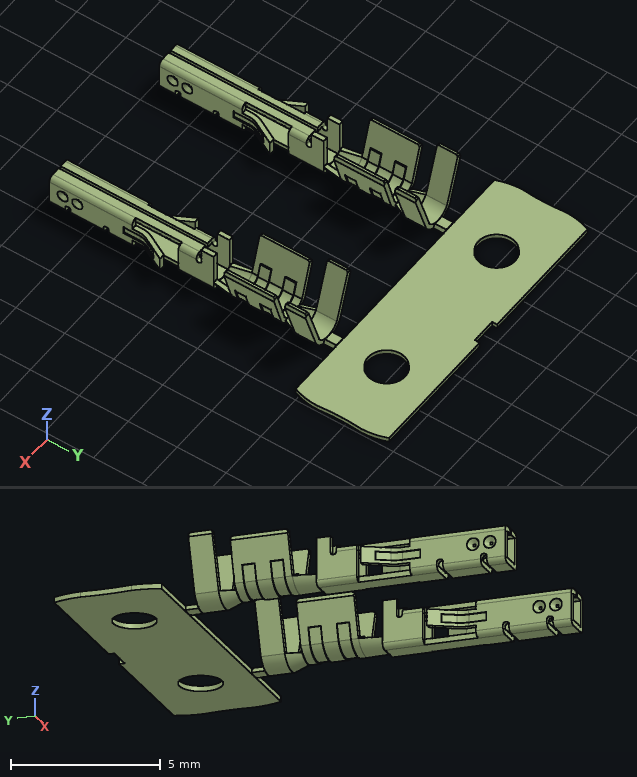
import cadquery as cq
import math


sheet = 0.2
total_length = 15.3
contact_pitch = 6.35
through = 15.3

strip_half_width = 5.94
strip_rear = total_length
strip_front = 11.48
strip_middle = (strip_rear + strip_front) / 2
strip_corner_inset = 0.2
strip_lobe_drop = 1.01
strip_waist_inset = 0.05
pilot_hole_diameter = 1.5
strip_notch_width = 1.0
strip_notch_depth = 0.2

insulation_rear = 11.0
insulation_front = 10.15
conductor_rear = 9.58
conductor_front = 7.53
box_rear = 6.72
ear_front = 6.21
roof_rear = 6.01

floor_z = sheet
insulation_top = 2.4
conductor_top = 2.15
box_top = 1.53
ear_top = 1.9

barrel_knee_x = 0.69
knee_height = 0.41
insulation_lean = 18.5
conductor_lean = 17.0
wing_tip_height = 0.17
wing_tip_inset = 0.05
wing_tip_chamfer = 0.06
tab_knee_x = 0.28
tab_knee_height = 0.05
tab_lean = 70.0
waist_knee_x = 0.46
waist_knee_height = 0.26
bead_length = 0.45
bead_centers = (9.03, 8.02)
bead_depth = 0.05
bead_top_height = 0.96

box_width = 1.12
box_half_width = box_width / 2
bore_half_width = box_half_width - sheet
seam_width = 0.1
seam_offset = -0.03
side_notch_centers = (2.33, 0.76)
side_notch_width = 0.21
side_notch_top = 0.57
ear_notch_bottom = 1.22
window_rear = 5.28
window_front = 3.4
dimple_centers = (1.15, 0.55)
dimple_z = 0.95
dimple_radius = 0.21
dimple_depth = 0.15
dimple_floor_radius = 0.05
bump_height = 0.1
bump_tip_radius = 0.15

lance_bend_start = 3.67
lance_bend_radius = 0.76
lance_angle = 28.0
lance_tip = 4.93
lance_bottom = 0.58
lance_top = 1.16
coin_bottom = 0.72
coin_top = 1.01
coin_rear = 4.5
coin_front = 3.03
coin_depth = 0.05


def block(x_range, y_range, z_range):
    """Axis-aligned box between pairs of limits."""
    return (
        cq.Workplane("XY")
        .box(x_range[1] - x_range[0], y_range[1] - y_range[0], z_range[1] - z_range[0], centered=False)
        .translate((x_range[0], y_range[0], z_range[0]))
    )


def both_sides(right_side):
    """A feature together with its mirror image across X = 0."""
    return right_side.union(right_side.mirror("YZ"))


def channel(y, bottom, knee_x, knee_z, lean, rim=None, tip_inset=0, tip_height=0, thickness=sheet):
    """Closed section of an open sheet channel: curved floor and, given a rim height, leaning wings."""
    angle = math.radians(lean)
    outer_knee = (knee_x, bottom + knee_z)
    inner_knee = (
        outer_knee[0] - thickness * math.cos(angle),
        outer_knee[1] + thickness * math.sin(angle),
    )

    def on_wing(knee, z):
        return (knee[0] + (z - knee[1]) * math.tan(angle), z)

    def left(point):
        return (-point[0], point[1])

    wing = []
    if rim is not None:
        outer_end = on_wing(outer_knee, rim - tip_height)
        wing = [outer_end, on_wing(inner_knee, rim)]
        if tip_height > 0:
            wing.insert(1, (outer_end[0] - tip_inset, rim))

    section = (
        cq.Workplane("XZ", origin=(0, y, 0))
        .moveTo(*left(outer_knee))
        .threePointArc((0, bottom), outer_knee)
    )
    for point in wing + [inner_knee]:
        section = section.lineTo(*point)
    section = section.threePointArc((0, bottom + thickness), left(inner_knee))
    for point in reversed(wing):
        section = section.lineTo(*left(point))
    return section.close()


def loft(rear_section, front_section):
    return cq.Workplane(cq.Solid.makeLoft([rear_section.val(), front_section.val()], True))


def carrier_strip():
    """Flat strip with lobed ends, pilot holes and one rear notch."""
    corner_x = strip_half_width - strip_corner_inset
    lobe_x = strip_half_width - strip_corner_inset / 4
    waist = (strip_half_width - strip_waist_inset, strip_middle)
    rear_peak = strip_rear - strip_lobe_drop
    front_peak = strip_front + strip_lobe_drop
    strip = (
        cq.Workplane("XY")
        .moveTo(corner_x, strip_rear)
        .threePointArc((lobe_x, strip_rear - strip_lobe_drop / 2), (strip_half_width, rear_peak))
        .threePointArc(waist, (strip_half_width, front_peak))
        .threePointArc((lobe_x, strip_front + strip_lobe_drop / 2), (corner_x, strip_front))
        .lineTo(-corner_x, strip_front)
        .threePointArc((-lobe_x, strip_front + strip_lobe_drop / 2), (-strip_half_width, front_peak))
        .threePointArc((-waist[0], waist[1]), (-strip_half_width, rear_peak))
        .threePointArc((-lobe_x, strip_rear - strip_lobe_drop / 2), (-corner_x, strip_rear))
        .close()
        .extrude(sheet)
    )
    holes = (
        cq.Workplane("XY")
        .pushPoints([(-contact_pitch / 2, strip_middle), (contact_pitch / 2, strip_middle)])
        .circle(pilot_hole_diameter / 2)
        .extrude(sheet)
    )
    notch = block(
        (-strip_notch_width / 2, strip_notch_width / 2),
        (strip_rear - strip_notch_depth, strip_rear),
        (0, sheet),
    )
    return strip.cut(holes).cut(notch)


def barrel(rear, front, bottom, lean, top):
    """Crimp barrel with two leaning wings whose tips are bevelled outside and at both ends."""
    section = channel(
        rear, bottom, barrel_knee_x, knee_height, lean, top, wing_tip_inset, wing_tip_height
    )
    return section.extrude(rear - front).faces(">Z").edges("|X").chamfer(wing_tip_chamfer)


def barrel_floor(y, bottom, lean):
    """Section of the curved barrel floor alone, without wings."""
    return channel(y, bottom, barrel_knee_x, knee_height, lean)


def add_bead(body, center):
    """Press a shallow bead inward across the conductor barrel."""
    rear = center + bead_length / 2
    rim = floor_z + bead_top_height
    angle = math.radians(conductor_lean)
    raised_knee_x = barrel_knee_x - bead_depth * math.cos(angle)
    raised_knee_height = knee_height - bead_depth * (1 - math.sin(angle))
    recess = channel(
        rear, floor_z, barrel_knee_x, knee_height, conductor_lean, rim, thickness=bead_depth
    )
    raised_sheet = channel(
        rear, floor_z + bead_depth, raised_knee_x, raised_knee_height, conductor_lean, rim
    )
    return body.cut(recess.extrude(bead_length)).union(raised_sheet.extrude(bead_length))


def crimp_end():
    """Strip tab, insulation barrel, waist, conductor barrel and the neck up to the box."""
    tab = channel(strip_front, 0, tab_knee_x, tab_knee_height, tab_lean)
    tab = tab.extrude(strip_front - insulation_rear)
    insulation = barrel(insulation_rear, insulation_front, 0, insulation_lean, insulation_top)
    waist = loft(
        barrel_floor(insulation_front, 0, insulation_lean),
        channel(conductor_rear, floor_z, waist_knee_x, waist_knee_height, insulation_lean),
    )
    conductor = barrel(conductor_rear, conductor_front, floor_z, conductor_lean, conductor_top)
    for center in bead_centers:
        conductor = add_bead(conductor, center)
    neck = loft(
        barrel_floor(conductor_front, floor_z, conductor_lean),
        channel(box_rear, floor_z, box_half_width, knee_height, 0),
    )
    return tab.union(insulation).union(waist).union(conductor).union(neck)


def box_shell():
    """Folded square tube with an open seam, ears at its rear and windows in its sides."""
    shell = block((-box_half_width, box_half_width), (0, box_rear), (floor_z, box_top))
    shell = shell.edges("|Y").fillet(sheet)
    bore = block((-bore_half_width, bore_half_width), (0, box_rear), (floor_z + sheet, box_top - sheet))
    seam = block(
        (seam_offset - seam_width / 2, seam_offset + seam_width / 2),
        (0, roof_rear),
        (box_top - sheet, box_top),
    )
    rear_opening = block(
        (-bore_half_width, bore_half_width), (roof_rear, box_rear), (box_top - sheet, box_top)
    )
    ears = both_sides(
        block((bore_half_width, box_half_width), (ear_front, box_rear), (ear_notch_bottom, ear_top))
    )
    windows = both_sides(
        block((bore_half_width, box_half_width), (window_front, window_rear), (floor_z, box_top))
    )
    shell = shell.cut(bore).cut(seam).cut(rear_opening)
    return shell.union(ears).cut(windows)


def cross_slot(center_y, width, round_end, open_end):
    """Cutter across X: a slot with one round end, open at the other."""
    radius = width / 2
    direction = math.copysign(1, round_end - open_end)
    straight_end = round_end - direction * radius
    return (
        cq.Workplane("YZ", origin=(-through / 2, 0, 0))
        .moveTo(center_y - radius, open_end)
        .lineTo(center_y - radius, straight_end)
        .threePointArc((center_y, round_end), (center_y + radius, straight_end))
        .lineTo(center_y + radius, open_end)
        .close()
        .extrude(through)
    )


def cut_notches(shell):
    """Round-ended notches behind the roof and up through the floor."""
    ear_gap = ear_front - roof_rear
    shell = shell.cut(cross_slot((ear_front + roof_rear) / 2, ear_gap, ear_notch_bottom, ear_top))
    for center in side_notch_centers:
        shell = shell.cut(cross_slot(center, side_notch_width, side_notch_top, 0))
    return shell


def cone(x, y, base_radius, tip_radius, height):
    """Truncated cone that starts at X = x and tapers toward the box axis."""
    return cq.Workplane(
        cq.Solid.makeCone(base_radius, tip_radius, height, cq.Vector(x, y, dimple_z), cq.Vector(-1, 0, 0))
    )


def add_dimples(shell):
    """Contact dimples pressed into both sides of the box."""
    for y in dimple_centers:
        bump = cone(bore_half_width, y, dimple_radius, bump_tip_radius, bump_height)
        dimple = cone(box_half_width, y, dimple_radius, dimple_floor_radius, dimple_depth)
        shell = shell.union(both_sides(bump)).cut(both_sides(dimple))
    return shell


def add_lances(shell):
    """Locking lances bent out of the box sides, each with a coined groove outside."""
    angle = math.radians(lance_angle)
    bend_center_x = box_half_width + lance_bend_radius

    def bent_strip(front, rear, thickness, bottom, top):
        inner_radius = lance_bend_radius + thickness

        def on_bend(radius, turn):
            return (bend_center_x - radius * math.cos(turn), lance_bend_start + radius * math.sin(turn))

        def at_rear(bend_end):
            return (bend_end[0] + (rear - bend_end[1]) * math.tan(angle), rear)

        outer_end = on_bend(lance_bend_radius, angle)
        inner_end = on_bend(inner_radius, angle)
        right_side = (
            cq.Workplane("XY", origin=(0, 0, bottom))
            .moveTo(box_half_width, front)
            .lineTo(box_half_width, lance_bend_start)
            .threePointArc(on_bend(lance_bend_radius, angle / 2), outer_end)
            .lineTo(*at_rear(outer_end))
            .lineTo(*at_rear(inner_end))
            .lineTo(*inner_end)
            .threePointArc(on_bend(inner_radius, angle / 2), (box_half_width - thickness, lance_bend_start))
            .lineTo(box_half_width - thickness, front)
            .close()
            .extrude(top - bottom)
        )
        return both_sides(right_side)

    lances = bent_strip(window_front, lance_tip, sheet, lance_bottom, lance_top)
    grooves = bent_strip(coin_front, coin_rear, coin_depth, coin_bottom, coin_top)
    return shell.union(lances).cut(grooves)


def contact():
    box = add_lances(add_dimples(cut_notches(box_shell())))
    return box.union(crimp_end())


result = carrier_strip()
single_contact = contact()
for x_center in (-contact_pitch / 2, contact_pitch / 2):
    result = result.union(single_contact.translate((x_center, 0, 0)))